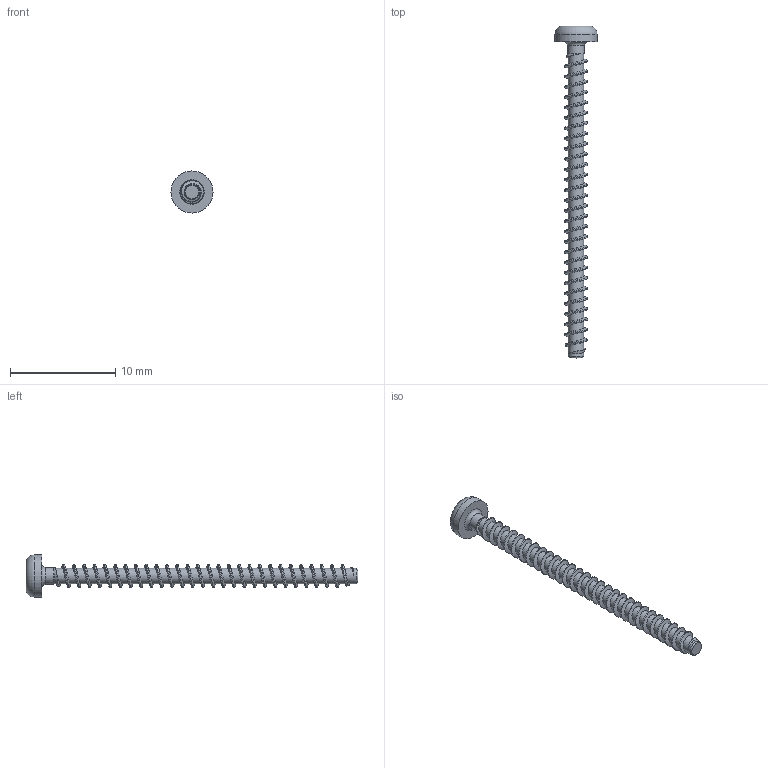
import cadquery as cq
import math


head_diameter = 4.0
head_height = 1.5
head_rim_height = 0.7
head_round_radius = 0.85

underhead_fillet = 0.35
shank_diameter = 1.6
shank_length = 1.15
core_diameter = 1.46
screw_length = 30.0
tip_chamfer_length = 0.15
tip_chamfer_width = 0.08

thread_diameter = 2.2
thread_pitch = 0.98
crest_width = 0.1
flank_angle = 15.0
root_overlap = 0.08
crest_depth_on_x = 1.82
run_in_end = 1.8
run_out_start = 28.5
run_out_end = 29.83

head_radius = head_diameter / 2
shank_radius = shank_diameter / 2
core_radius = core_diameter / 2
thread_radius = thread_diameter / 2
root_radius = core_radius - root_overlap
clear_radius = thread_radius + root_overlap


def make_body():
    """Revolve the head, shank, core and tip as one half-profile in the XY plane."""
    dome_height = head_height - head_rim_height
    round_centre = head_radius - head_round_radius
    dome_angle = math.asin(dome_height / head_round_radius)
    fillet_centre = shank_radius + underhead_fillet
    fillet_reach = underhead_fillet * math.sin(math.radians(45))

    def dome_point(angle):
        return (
            round_centre + head_round_radius * math.cos(angle),
            head_rim_height + head_round_radius * math.sin(angle),
        )

    return (
        cq.Workplane("XY")
        .moveTo(0, head_height)
        .lineTo(*dome_point(dome_angle))
        .threePointArc(dome_point(dome_angle / 2), (head_radius, head_rim_height))
        .lineTo(head_radius, 0)
        .lineTo(fillet_centre, 0)
        .threePointArc(
            (fillet_centre - fillet_reach, fillet_reach - underhead_fillet),
            (shank_radius, -underhead_fillet),
        )
        .lineTo(shank_radius, -shank_length)
        .lineTo(core_radius, -shank_length)
        .lineTo(core_radius, tip_chamfer_length - screw_length)
        .lineTo(core_radius - tip_chamfer_width, -screw_length)
        .lineTo(0, -screw_length)
        .close()
        .revolve(360, (0, 0, 0), (0, 1, 0))
    )


def make_thread_ridge():
    """Sweep the ridge along a helix about Z, starting on +X, then lay the helix along Y."""
    turns_to_tip = math.ceil((run_out_end - crest_depth_on_x) / thread_pitch)
    start_depth = crest_depth_on_x + turns_to_tip * thread_pitch
    end_depth = crest_depth_on_x - thread_pitch
    half_crest = crest_width / 2
    half_root = half_crest + (thread_radius - root_radius) * math.tan(math.radians(flank_angle))
    helix = cq.Wire.makeHelix(thread_pitch, start_depth - end_depth, root_radius)
    ridge = (
        cq.Workplane("XZ")
        .polyline(
            [
                (root_radius, -half_root),
                (thread_radius, -half_crest),
                (thread_radius, half_crest),
                (root_radius, half_root),
            ]
        )
        .close()
        .sweep(cq.Workplane(helix), isFrenet=True)
    )
    return ridge.rotate((0, 0, 0), (1, 0, 0), -90).translate((0, -start_depth, 0))


def make_thread_envelope():
    """Solid of revolution whose cones fade the thread in and out at its two ends."""
    return (
        cq.Workplane("XY")
        .moveTo(0, -shank_length)
        .lineTo(shank_radius, -shank_length)
        .lineTo(thread_radius, -run_in_end)
        .lineTo(clear_radius, -run_in_end)
        .lineTo(clear_radius, -run_out_start)
        .lineTo(thread_radius, -run_out_start)
        .lineTo(root_radius, -run_out_end)
        .lineTo(0, -run_out_end)
        .close()
        .revolve(360, (0, 0, 0), (0, 1, 0))
    )


thread = make_thread_ridge().intersect(make_thread_envelope())
result = make_body().union(thread)